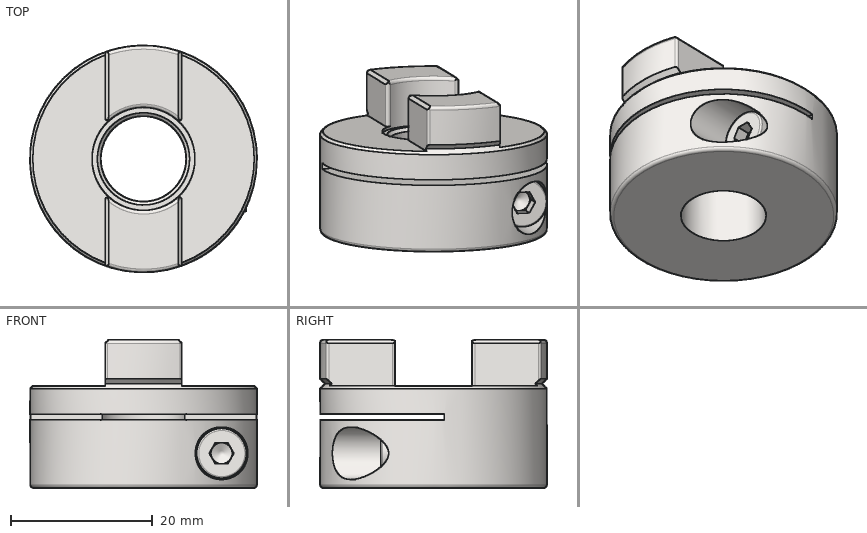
import cadquery as cq
import math

hub_radius = 16.0
hub_height = 14.4
rim_chamfer = 0.4
bottom_edge_radius = 0.5

bore_radius = 6.0
bore_chamfer = 0.5
recess_radius = 7.25
recess_depth = 0.4

overall_height = 20.9
jaw_width = 10.8
jaw_corner_radius = 0.4
jaw_top_edge = 0.5
jaw_groove_depth = 0.7

slot_bottom = 9.6
slot_width = 0.8
slot_end_y = 1.5

screw_x = 11.0
screw_z = 4.9
screw_front_y = -7.45
head_radius = 3.5
head_height = 4.0
head_edge_radius = 0.25
shank_radius = 2.0
shank_length = 12.0
socket_flats = 3.0
socket_depth = 2.0
socket_tip_angle = 120.0
counterbore_radius = 3.7

head_seat_y = screw_front_y + head_height


def cylinder_along_y(radius, start_y, length):
    """Cylinder on the screw axis, running from start_y toward +Y."""
    center = cq.Vector(screw_x, start_y, screw_z)
    return cq.Workplane(cq.Solid.makeCylinder(radius, length, center, cq.Vector(0, 1, 0)))


def make_disc():
    disc = cq.Workplane("XY").circle(hub_radius).extrude(hub_height)
    disc = disc.faces("<Z").edges().fillet(bottom_edge_radius)
    return disc.faces(">Z").edges().chamfer(rim_chamfer)


def make_jaws():
    """Two opposite sectors of a ring: straight top edges bevelled, curved top edges rounded."""
    foot_z = hub_height - recess_depth
    jaw_height = overall_height - foot_z
    foot_plane = cq.Workplane("XY", origin=(0, 0, foot_z))

    ring = foot_plane.circle(hub_radius).circle(recess_radius).extrude(jaw_height)
    slab = foot_plane.rect(jaw_width, 2 * hub_radius).extrude(jaw_height)
    square_jaws = ring.intersect(slab).edges("|Z").fillet(jaw_corner_radius)

    rounded_ring = ring.faces(">Z").edges().fillet(jaw_top_edge)
    bevelled_slab = slab.edges(">Z and |Y").chamfer(jaw_top_edge)
    return square_jaws.intersect(rounded_ring).intersect(bevelled_slab)


def make_jaw_groove():
    """V groove around the jaws that continues the slope of the rim chamfer."""
    groove_bottom = hub_height - rim_chamfer
    groove = cq.Workplane("XZ").polyline([
        (hub_radius, groove_bottom),
        (hub_radius - jaw_groove_depth, groove_bottom + jaw_groove_depth),
        (hub_radius, groove_bottom + 2 * jaw_groove_depth),
    ]).close()
    return groove.revolve(360, (0, 0, 0), (0, 1, 0))


def make_bore():
    """Through bore, its entry chamfer and the recess above, as one turned cutter."""
    recess_floor = hub_height - recess_depth
    profile = cq.Workplane("XZ").polyline([
        (0, 0),
        (bore_radius, 0),
        (bore_radius, recess_floor - bore_chamfer),
        (bore_radius + bore_chamfer, recess_floor),
        (recess_radius, recess_floor),
        (recess_radius, hub_height),
        (0, hub_height),
    ]).close()
    return profile.revolve(360, (0, 0, 0), (0, 1, 0))


def make_slot():
    slot_length = hub_radius + slot_end_y
    slot = cq.Workplane("XY").box(2 * hub_radius, slot_length, slot_width, centered=(True, False, False))
    return slot.translate((0, -hub_radius, slot_bottom))


def make_hub():
    hub = make_disc().union(make_jaws())
    hub = hub.cut(make_jaw_groove()).cut(make_bore()).cut(make_slot())
    hub = hub.cut(cylinder_along_y(counterbore_radius, -hub_radius, hub_radius + head_seat_y))
    return hub.cut(cylinder_along_y(shank_radius, head_seat_y, shank_length))


def make_screw():
    """Socket head screw with a hexagon socket that ends in a drill point."""
    head = cylinder_along_y(head_radius, screw_front_y, head_height)
    head = head.faces("<Y").edges().fillet(head_edge_radius)
    shank = cylinder_along_y(shank_radius, head_seat_y, shank_length)

    socket_corners = socket_flats / math.cos(math.radians(30))
    front_face = cq.Workplane("XZ", origin=(screw_x, screw_front_y, screw_z))
    socket = front_face.polygon(6, socket_corners).extrude(-socket_depth)

    tip_radius = socket_flats / 2
    tip_depth = tip_radius / math.tan(math.radians(socket_tip_angle / 2))
    tip_base = cq.Vector(screw_x, screw_front_y + socket_depth, screw_z)
    tip = cq.Workplane(cq.Solid.makeCone(tip_radius, 0, tip_depth, tip_base, cq.Vector(0, 1, 0)))

    return head.union(shank).cut(socket).cut(tip)


hub = make_hub()
screw = make_screw()

result = cq.Compound.makeCompound([hub.solids().val(), screw.solids().val()])